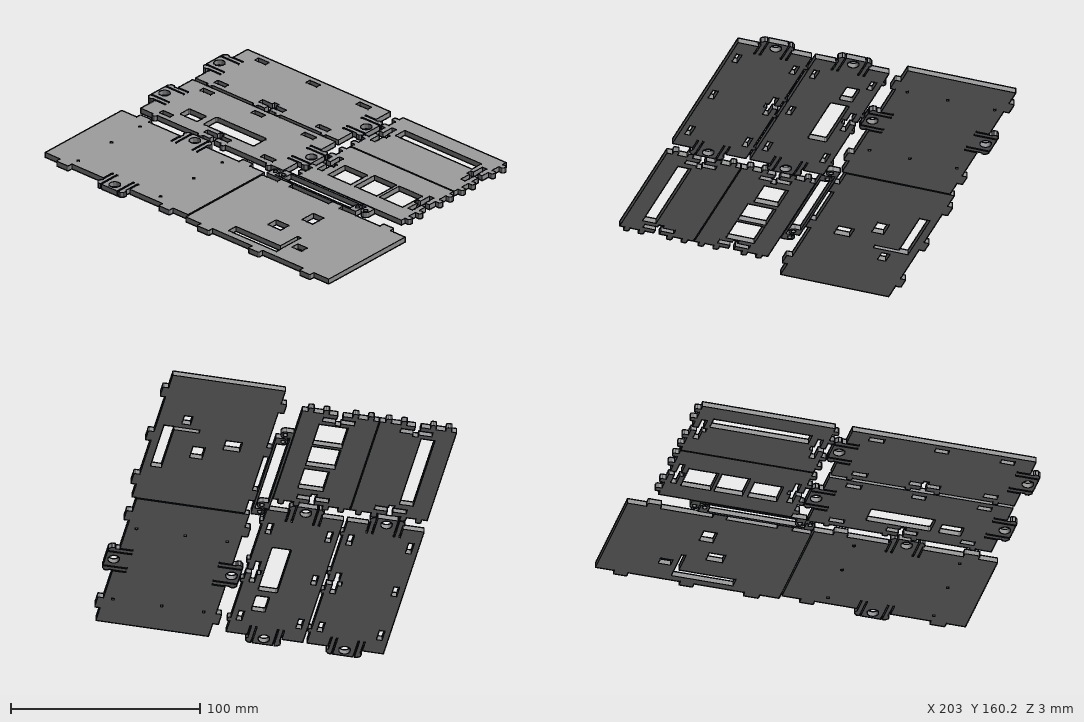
import cadquery as cq


thickness = 3.0

long_side = 101.0
base_depth = 61.0
end_length = 73.0
wall_height = 41.5

clip_reach = 5.9
slit_depth = 7.1
slit_width = 0.8
tongue_half = 5.5
arm_width = 2.2
hook_height = 0.8
hook_lead = 1.5
hook_land_end = 3.0
hook_end = 3.9
clip_hole_diameter = 6.0
clip_hole_from_tip = 4.5

tab_inset = 10.5
tab_width = 7.5
wide_tab_width = 8.3
tab_fillet = 0.6
slot_inset = 3.0

peg_width = 3.0
peg_fillet = 1.0
near_peg_offset = 8.0
side_peg_offset = 40.2
side_peg_length = 1.6
end_peg_offset = 16.2
end_peg_length = thickness

clip_slot_width = 3.0
clip_slot_inset = 3.0
side_clip_slot_length = 16.8
end_clip_slot_length = 17.3
screw_slot_width = 3.0
screw_slot_depth = 8.0

base_hole_diameter = 1.5
base_hole_columns = (18.9, 77.1)
base_hole_rows = (5.0, 31.5, 54.2)

connector_windows = [(36.3, 9.1, 35.5, 10.5, 1.0), (19.7, 9.1, 12.2, 7.5, 0.8)]
display_window = (10.0, 24.2, 54.2, 7.5)
jack_windows = [(11.4, 11.0, 16.0, 13.5), (30.2, 11.0, 15.6, 15.8), (47.7, 11.0, 16.5, 15.8)]
lid_windows = [
    (47.7, 38.8, 7.5, 9.0),
    (37.8, 22.7, 9.1, 6.7),
    (63.5, 13.0, 6.7, 4.7),
    (26.5, 4.0, 34.0, 5.9),
    (58.0, 4.0, 2.5, 19.5),
]

bracket_length = 63.0
bracket_eye_radius = 2.5
bracket_hole_diameter = 2.5
bracket_bar_width = 1.2
bracket_back_to_eye = 4.3

base_corner = (0, clip_reach)
lid_corner = (102.0, 3.2)
lower_side_corner = (clip_reach, 75.1)
side_pitch = 43.6
lower_end_corner = (116.3, 76.3)
end_pitch = 42.0
bracket_eye_line = 71.7
upper_bracket_left = 107.8
lower_bracket_left = 102.1


def plate(x, y, width, height):
    """A sheet rectangle with its lower-left corner at (x, y)."""
    return cq.Workplane("XY").box(width, height, thickness, centered=False).translate((x, y, 0))


def rounded_tab(x, y, width, height, outer_edges, radius):
    """A sheet rectangle with the upright edges on its free side rounded."""
    return plate(x, y, width, height).edges("|Z").edges(outer_edges).fillet(radius)


def add_clip(panel, edge_point, angle):
    """Add a spring clip whose centreline leaves the panel edge at edge_point in direction angle."""
    arm_inside = tongue_half + slit_width
    arm_outside = arm_inside + arm_width
    upper_profile = [
        (0, arm_outside),
        (clip_reach - hook_end, arm_outside),
        (clip_reach - hook_land_end, arm_outside + hook_height),
        (clip_reach - hook_lead, arm_outside + hook_height),
        (clip_reach, arm_outside - hook_height),
    ]
    lower_profile = [(x, -y) for x, y in reversed(upper_profile)]
    body = cq.Workplane("XY").polyline(upper_profile + lower_profile).close().extrude(thickness)

    cutter = (
        cq.Workplane("XY")
        .center(clip_reach - clip_hole_from_tip, 0)
        .circle(clip_hole_diameter / 2)
        .extrude(thickness)
    )
    for inner in (tongue_half, -arm_inside):
        cutter = cutter.union(plate(-slit_depth, inner, slit_depth + clip_reach, slit_width))
    for outer in (arm_outside, -arm_outside - slit_width):
        cutter = cutter.union(plate(-slit_depth, outer, slit_depth, slit_width))

    def place(shape):
        return shape.rotate((0, 0, 0), (0, 0, 1), angle).translate((*edge_point, 0))

    return panel.union(place(body)).cut(place(cutter))


def cut_windows(panel, windows):
    for window in windows:
        panel = panel.cut(plate(*window))
    return panel


def place_panel(panel, corner):
    return panel.translate((*corner, 0))


def add_edge_tabs(panel, tabs):
    """Add the same (start, width) tabs along both long edges of a base-sized panel."""
    for start, width in tabs:
        panel = panel.union(rounded_tab(start, base_depth, width, thickness, ">Y", tab_fillet))
        panel = panel.union(rounded_tab(start, -thickness, width, thickness, "<Y", tab_fillet))
    return panel


wide_tab = (tab_inset, wide_tab_width)
middle_tab = ((long_side - tab_width) / 2, tab_width)
last_tab = (long_side - tab_inset - tab_width, tab_width)


def make_base():
    panel = plate(0, 0, long_side, base_depth)
    panel = add_edge_tabs(panel, [wide_tab, last_tab])
    panel = add_clip(panel, (long_side / 2, base_depth), 90)
    panel = add_clip(panel, (long_side / 2, 0), -90)
    hole_centres = [(x, y) for x in base_hole_columns for y in base_hole_rows]
    holes = cq.Workplane("XY").pushPoints(hole_centres).circle(base_hole_diameter / 2).extrude(thickness)
    return panel.cut(holes)


def make_lid():
    panel = plate(0, 0, long_side, base_depth)
    panel = add_edge_tabs(panel, [wide_tab, middle_tab, last_tab])
    return cut_windows(panel, lid_windows)


def make_side_panel():
    panel = plate(0, 0, long_side, wall_height)
    middle_x = long_side / 2

    for offset in (-side_peg_offset, -near_peg_offset, near_peg_offset, side_peg_offset):
        left = middle_x + offset - peg_width / 2
        panel = panel.union(rounded_tab(left, -side_peg_length, peg_width, side_peg_length, "<Y", peg_fillet))

    upper_row = wall_height - slot_inset - thickness
    for row in (slot_inset, upper_row):
        panel = panel.cut(plate(tab_inset, row, tab_width, thickness))
        panel = panel.cut(plate(long_side - tab_inset - wide_tab_width, row, wide_tab_width, thickness))
    panel = panel.cut(plate(middle_tab[0], upper_row, tab_width, thickness))

    clip_slot_left = middle_x - side_clip_slot_length / 2
    panel = panel.cut(plate(clip_slot_left, clip_slot_inset, side_clip_slot_length, clip_slot_width))
    panel = panel.cut(plate(middle_x - screw_slot_width / 2, 0, screw_slot_width, screw_slot_depth))

    panel = add_clip(panel, (0, wall_height / 2), 180)
    return add_clip(panel, (long_side, wall_height / 2), 0)


def make_connector_side_panel():
    panel = make_side_panel()
    for x, y, width, height, radius in connector_windows:
        panel = panel.cut(plate(x, y, width, height).edges("|Z").fillet(radius))
    return panel


def make_end_panel(windows):
    panel = plate(0, 0, end_length, wall_height)
    middle_y = wall_height / 2

    for offset in (-end_peg_offset, -near_peg_offset, near_peg_offset, end_peg_offset):
        bottom = middle_y + offset - peg_width / 2
        panel = panel.union(rounded_tab(-end_peg_length, bottom, end_peg_length, peg_width, "<X", peg_fillet))
        panel = panel.union(rounded_tab(end_length, bottom, end_peg_length, peg_width, ">X", peg_fillet))

    slot_bottom = middle_y - end_clip_slot_length / 2
    for slot_left in (clip_slot_inset, end_length - clip_slot_inset - clip_slot_width):
        panel = panel.cut(plate(slot_left, slot_bottom, clip_slot_width, end_clip_slot_length))
    screw_slot_bottom = middle_y - screw_slot_width / 2
    for slot_left in (0, end_length - screw_slot_depth):
        panel = panel.cut(plate(slot_left, screw_slot_bottom, screw_slot_depth, screw_slot_width))

    return cut_windows(panel, windows)


def make_bracket():
    """A bar along the top with a downward leg at each end; each leg's round eye is centred on Y = 0."""
    leg_width = 2 * bracket_eye_radius
    eye_centres = [(bracket_eye_radius, 0), (bracket_length - bracket_eye_radius, 0)]
    bar_bottom = bracket_back_to_eye - bracket_bar_width
    bracket = plate(0, bar_bottom, bracket_length, bracket_bar_width)
    for leg_left in (0, bracket_length - leg_width):
        bracket = bracket.union(plate(leg_left, 0, leg_width, bracket_back_to_eye))
    eyes = cq.Workplane("XY").pushPoints(eye_centres).circle(bracket_eye_radius).extrude(thickness)
    holes = cq.Workplane("XY").pushPoints(eye_centres).circle(bracket_hole_diameter / 2).extrude(thickness)
    return bracket.union(eyes).cut(holes)


base = place_panel(make_base(), base_corner)
lid = place_panel(make_lid(), lid_corner)

connector_side = place_panel(make_connector_side_panel(), lower_side_corner)
plain_side = place_panel(make_side_panel(), (lower_side_corner[0], lower_side_corner[1] + side_pitch))

jack_end = place_panel(make_end_panel(jack_windows), lower_end_corner)
display_end = place_panel(
    make_end_panel([display_window]), (lower_end_corner[0], lower_end_corner[1] + end_pitch)
)

brackets = []
for left, turn in ((upper_bracket_left, 0), (lower_bracket_left, 180)):
    centred = make_bracket().translate((-bracket_length / 2, 0, 0))
    turned = centred.rotate((0, 0, 0), (0, 0, 1), turn)
    brackets.append(turned.translate((left + bracket_length / 2, bracket_eye_line, 0)))

bodies = [base, lid, connector_side, plain_side, jack_end, display_end, *brackets]
result = cq.Compound.makeCompound([body.solids().val() for body in bodies])